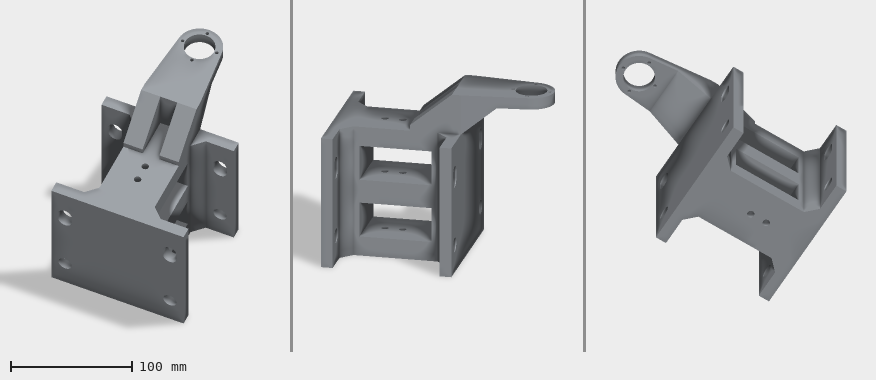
import cadquery as cq
import math

flange_width = 120.0
flange_thickness = 10.0
body_depth = 110.6
body_height = 113.0
web_width = 50.1
corner_chamfer = 9.5

window_front = 24.9
window_depth = 60.8
window_height = 29.7
window_margin = 16.8

mount_spacing = 95.1
mount_diameter = 12.2
round_hole_z = 24.0
slot_z = 83.7
slot_length = 18.5

web_hole_diameter = 6.0
web_hole_first_y = 40.5
web_hole_pitch = 15.1

total_depth = 184.3
total_height = 147.5
arm_thickness = 10.0
rib_front_y = 67.5
rib_toe_height = 5.0
plate_front_y = 103.0
underside_bend_y = 140.5
rib_gap = 15.3

ring_radius = 19.5
bore_diameter = 26.2
bolt_circle_radius = 15.5
bolt_hole_diameter = 3.0
bolt_hole_count = 4
ring_y = total_depth - ring_radius


def make_body():
    half_flange = flange_width / 2
    half_web = web_width / 2
    chamfer_x = half_web + corner_chamfer
    chamfer_y = flange_thickness + corner_chamfer
    right_side = [
        (half_flange, 0),
        (half_flange, flange_thickness),
        (chamfer_x, flange_thickness),
        (half_web, chamfer_y),
        (half_web, body_depth - chamfer_y),
        (chamfer_x, body_depth - flange_thickness),
        (half_flange, body_depth - flange_thickness),
        (half_flange, body_depth),
    ]
    left_side = [(-x, y) for x, y in reversed(right_side)]
    return cq.Workplane("XY").polyline(right_side + left_side).close().extrude(body_height)


def make_windows():
    lower_z = window_margin
    upper_z = body_height - window_margin - window_height
    window = cq.Workplane("XY").box(web_width, window_depth, window_height, centered=(True, False, False))
    lower = window.translate((0, window_front, lower_z))
    upper = window.translate((0, window_front, upper_z))
    return lower.union(upper)


def make_mount_holes():
    half_spacing = mount_spacing / 2
    round_holes = (
        cq.Workplane("XZ")
        .pushPoints([(-half_spacing, round_hole_z), (half_spacing, round_hole_z)])
        .circle(mount_diameter / 2)
        .extrude(-body_depth)
    )
    slots = (
        cq.Workplane("XZ")
        .pushPoints([(-half_spacing, slot_z), (half_spacing, slot_z)])
        .slot2D(slot_length, mount_diameter, 90)
        .extrude(-body_depth)
    )
    return round_holes.union(slots)


def make_web_holes():
    return (
        cq.Workplane("XY")
        .pushPoints([(0, web_hole_first_y), (0, web_hole_first_y + web_hole_pitch)])
        .circle(web_hole_diameter / 2)
        .extrude(body_height)
    )


def make_arm():
    side_profile = (
        cq.Workplane("YZ")
        .polyline([
            (rib_front_y, body_height),
            (rib_front_y, body_height + rib_toe_height),
            (plate_front_y, total_height),
            (total_depth, total_height),
            (total_depth, total_height - arm_thickness),
            (underside_bend_y, total_height - arm_thickness),
            (body_depth, body_height),
        ])
        .close()
        .extrude(web_width / 2, both=True)
    )

    half_web = web_width / 2
    reach = ring_y - body_depth
    corner_distance = math.hypot(half_web, reach)
    tangent_angle = math.acos(ring_radius / corner_distance) - math.atan2(reach, half_web)
    tangent_x = ring_radius * math.cos(tangent_angle)
    tangent_y = ring_y + ring_radius * math.sin(tangent_angle)
    top_outline = (
        cq.Workplane("XY")
        .moveTo(-half_web, rib_front_y)
        .lineTo(half_web, rib_front_y)
        .lineTo(half_web, body_depth)
        .lineTo(tangent_x, tangent_y)
        .threePointArc((0, total_depth), (-tangent_x, tangent_y))
        .lineTo(-half_web, body_depth)
        .close()
        .extrude(total_height)
    )

    gap = (
        cq.Workplane("XY", origin=(0, rib_front_y, body_height))
        .box(
            rib_gap,
            plate_front_y - rib_front_y,
            total_height - body_height,
            centered=(True, False, False),
        )
    )
    return side_profile.intersect(top_outline).cut(gap)


def make_ring_holes():
    ring_plane = cq.Workplane("XY", origin=(0, ring_y, total_height - arm_thickness))
    bore = ring_plane.circle(bore_diameter / 2).extrude(arm_thickness)
    bolt_holes = (
        ring_plane
        .polarArray(bolt_circle_radius, 0, 360, bolt_hole_count)
        .circle(bolt_hole_diameter / 2)
        .extrude(arm_thickness)
    )
    return bore.union(bolt_holes)


body = make_body().cut(make_windows()).cut(make_mount_holes()).cut(make_web_holes())
arm = make_arm().cut(make_ring_holes())
result = body.union(arm)